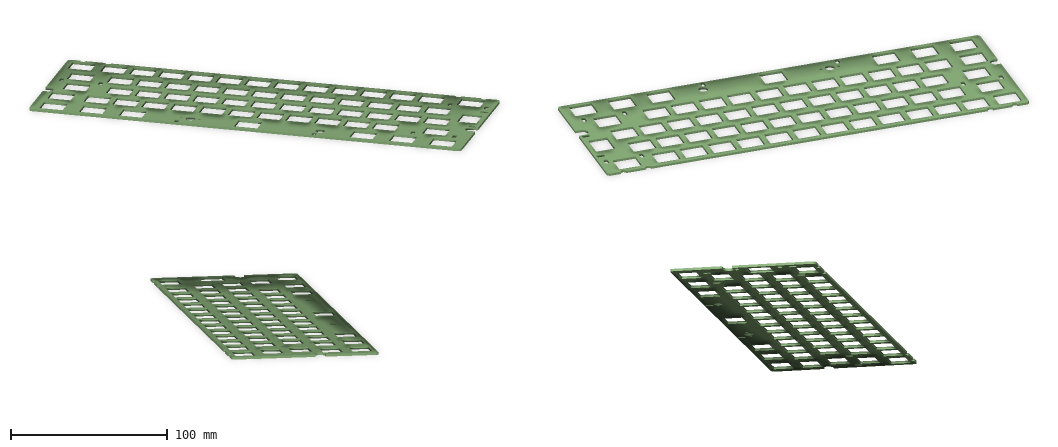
import cadquery as cq

length = 285.8
row_count = 5
column_count = 15
pitch = length / column_count
width = row_count * pitch
thickness = 1.6
corner_radius = 2.3

switch_long = 15.5
switch_short = 13.0
opening_radius = 0.37
grid_shift_x = -0.2
grid_shift_y = -0.23

key_rows = [
    [0.625] + [1.75 + i for i in range(12)] + [14.125],
    [0.875] + [2.25 + i for i in range(12)],
    [1.0] + [2.5 + i for i in range(12)],
    [0.75] + [2.0 + i for i in range(11)] + [13.75],
    [0.75, 2.125, 3.5, 7.5, 11.5, 12.875, 14.25],
]
enter_column = 14.5
enter_row = 1.5

slot_width = 2.71
slot_length = 5.1
slot_radius = 1.0
slot_offset = 6.3
raised_slot_offset = 10.5

stabilized_keys = [
    (14.125, 0, 12.0, -slot_offset),
    (1.0, 2, 13.0, raised_slot_offset),
    (13.75, 3, 13.7, -slot_offset),
    (7.5, 4, 45.5, -slot_offset),
]
enter_slot_offset = 5.7
enter_slot_half_spacing = 14.0

hole_row = 4
left_hole_column = 5.5
right_hole_column = 10.0
left_hole_diameter = 6.3
right_hole_diameter = 6.0
pin_hole_diameter = 1.7
pin_hole_offset = 6.0

side_notch_width = 6.5
side_notch_y = -10.0
left_notch_depth = 6.0
right_notch_depth = 7.5
top_notch_diameter = 3.7
top_notch_depth = 1.7
top_notch_positions = [-133.0, -116.3, 115.2, 132.0]


def key_center(column, row):
    """Centre of a key, from its column and row in key units."""
    x = column * pitch - length / 2 + grid_shift_x
    y = width / 2 - (row + 0.5) * pitch + grid_shift_y
    return x, y


def openings(points, size_x, size_y, radius):
    """Cutter for equal rectangles with rounded corners."""
    blocks = cq.Workplane("XY").pushPoints(points).rect(size_x, size_y).extrude(thickness)
    return blocks.edges("|Z").fillet(radius)


def round_holes(points, diameter):
    """Cutter for equal round holes."""
    return cq.Workplane("XY").pushPoints(points).circle(diameter / 2).extrude(thickness)


def side_notch(side, depth):
    """Cutter for a round-ended notch in the left (-1) or right (+1) edge."""
    outline = cq.Workplane("XY").center(side * length / 2, side_notch_y)
    return outline.slot2D(2 * depth, side_notch_width).extrude(thickness)


plate = cq.Workplane("XY").rect(length, width).extrude(thickness)
plate = plate.edges("|Z").fillet(corner_radius)

key_centers = [
    key_center(column, row)
    for row, columns in enumerate(key_rows)
    for column in columns
]
enter_x, enter_y = key_center(enter_column, enter_row)
plate = plate.cut(openings(key_centers, switch_long, switch_short, opening_radius))
plate = plate.cut(openings([(enter_x, enter_y)], switch_short, switch_long, opening_radius))

for column, row, half_spacing, offset in stabilized_keys:
    x, y = key_center(column, row)
    slot_centers = [(x + side * half_spacing, y + offset) for side in (-1, 1)]
    plate = plate.cut(openings(slot_centers, slot_width, slot_length, slot_radius))

enter_slots = [
    (enter_x + enter_slot_offset, enter_y + side * enter_slot_half_spacing)
    for side in (-1, 1)
]
plate = plate.cut(openings(enter_slots, slot_length, slot_width, slot_radius))

left_hole = key_center(left_hole_column, hole_row)
right_hole = key_center(right_hole_column, hole_row)
pin_holes = [(left_hole[0] + side * pin_hole_offset, left_hole[1]) for side in (-1, 1)]
plate = plate.cut(round_holes([left_hole], left_hole_diameter))
plate = plate.cut(round_holes([right_hole], right_hole_diameter))
plate = plate.cut(round_holes(pin_holes, pin_hole_diameter))

plate = plate.cut(side_notch(-1, left_notch_depth))
plate = plate.cut(side_notch(1, right_notch_depth))

top_notch_y = width / 2 - top_notch_depth + top_notch_diameter / 2
top_notches = [(x, top_notch_y) for x in top_notch_positions]
plate = plate.cut(round_holes(top_notches, top_notch_diameter))

result = plate